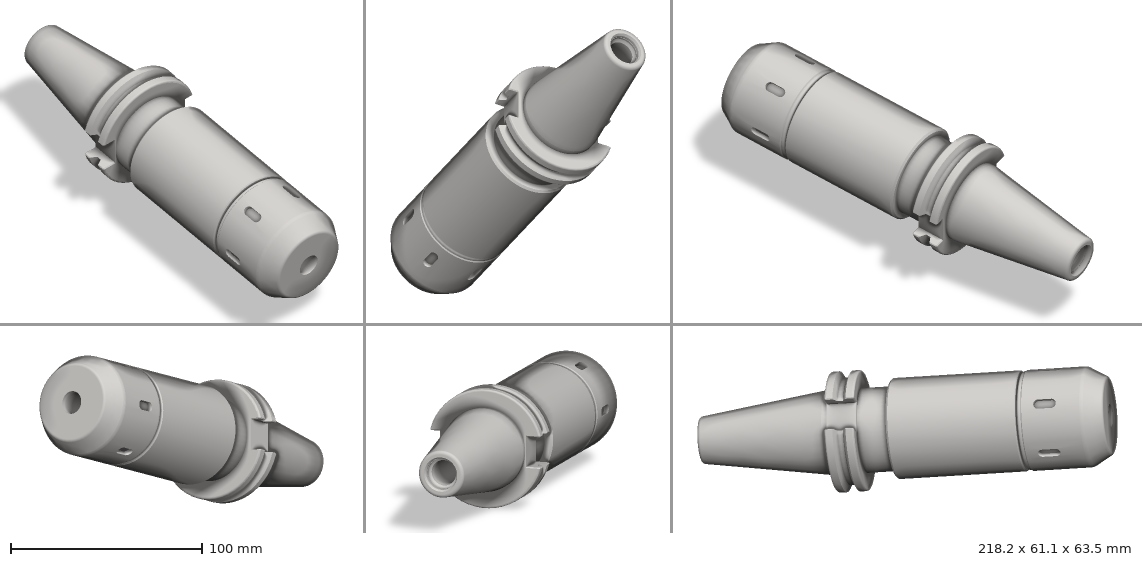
import cadquery as cq
import math

total_length = 218.2

taper_length = 68.3
taper_large_dia = 44.5
taper_slope = 7 / 48
shank_tip_fillet = 2.0

flange_dia = 63.5
flange_start = 71.4
flange_end = 87.3
flange_edge_fillet = 1.0
groove_floor_dia = 56.3
groove_floor_start = 78.0
groove_floor_width = 2.8
groove_flank_angle = 30.0

keyway_width = 16.2
keyway_chamfer = 0.55
keyway_floor_front = 22.7
keyway_floor_back = 24.9

barrel_dia = 53.0
barrel_start = 103.2
barrel_end = 172.5
barrel_front_chamfer = 0.55
barrel_rear_chamfer = 1.0
shoulder_fillet = 0.5

neck_dia = 43.2

nut_start = 173.3
nut_rim_dia = 52.0
nut_rim_length = 2.0
nut_rear_fillet = 1.0
nut_cone_start = 207.8
nut_cone_fillet = 4.0
nut_cone_angle = 30.0
nut_nose_fillet = 1.7

slot_count = 6
slot_start = 182.2
slot_length = 12.0
slot_width = 5.0
slot_depth = 2.6
first_slot_angle = 90.0

mouth_dia = 18.3
mouth_cone_angle = 30.0
socket_dia = 16.8
socket_end = 2.8
relief_dia = 16.4
relief_end = 4.0
thread_dia = 13.5
thread_start = 5.2
thread_end = 43.6
through_dia = 12.0

tolerance = 0.02

taper_large_radius = taper_large_dia / 2
tip_radius = taper_large_radius - taper_length * taper_slope
flange_radius = flange_dia / 2
barrel_radius = barrel_dia / 2
groove_flank_length = (flange_dia - groove_floor_dia) / 2 * math.tan(math.radians(groove_flank_angle))
groove_floor_end = groove_floor_start + groove_floor_width
groove_start = groove_floor_start - groove_flank_length
groove_end = groove_floor_end + groove_flank_length
mouth_length = (mouth_dia - socket_dia) / 2 / math.tan(math.radians(mouth_cone_angle))
nut_cone_drop = (total_length - nut_cone_start) * math.tan(math.radians(nut_cone_angle))
nut_nose_radius = barrel_radius - nut_cone_drop
nut_rim_chamfer = (barrel_dia - nut_rim_dia) / 2


def revolve_about_x(points):
    """Solid of revolution from (x, radius) points, closed along the X axis."""
    outline = [(points[0][0], 0), *points, (points[-1][0], 0)]
    return cq.Workplane("XY").polyline(outline).close().revolve(360, (0, 0, 0), (1, 0, 0))


def fillet_circle(body, x, radius, fillet_radius):
    """Round the full-circle edge of the given radius lying at x."""

    def is_wanted(edge):
        return abs(edge.Center().x - x) < tolerance and abs(edge.radius() - radius) < tolerance

    return body.edges("%CIRCLE").filter(is_wanted).fillet(fillet_radius)


def make_holder_blank():
    blank = revolve_about_x([
        (0, tip_radius),
        (taper_length, taper_large_radius),
        (flange_start, taper_large_radius),
        (flange_start, flange_radius),
        (groove_start, flange_radius),
        (groove_floor_start, groove_floor_dia / 2),
        (groove_floor_end, groove_floor_dia / 2),
        (groove_end, flange_radius),
        (flange_end, flange_radius),
        (flange_end, taper_large_radius),
        (barrel_start, taper_large_radius),
        (barrel_start, barrel_radius - barrel_rear_chamfer),
        (barrel_start + barrel_rear_chamfer, barrel_radius),
        (barrel_end - barrel_front_chamfer, barrel_radius),
        (barrel_end, barrel_radius - barrel_front_chamfer),
        (barrel_end, neck_dia / 2),
        (nut_start, neck_dia / 2),
    ])
    blank = fillet_circle(blank, 0, tip_radius, shank_tip_fillet)
    for x in (flange_start, flange_end):
        blank = fillet_circle(blank, x, flange_radius, flange_edge_fillet)
    return fillet_circle(blank, barrel_start, taper_large_radius, shoulder_fillet)


def make_keyway(floor_distance, side):
    """Cutter for one keyway; side is -1 for -Y and +1 for +Y."""
    return cq.Workplane("XY").box(
        flange_end - flange_start, flange_radius, keyway_width, centered=(False, True, True)
    ).translate((flange_start, side * (floor_distance + flange_radius / 2), 0))


def chamfer_keyway_walls(body):
    """Break the wall edges on the two flange ridges, leaving the floors and the V-groove sharp."""

    def is_ridge_edge(edge):
        centre = edge.Center()
        box = edge.BoundingBox()
        on_wall = box.zlen < tolerance and abs(abs(centre.z) - keyway_width / 2) < tolerance
        on_floor = min(abs(centre.y + keyway_floor_front), abs(centre.y - keyway_floor_back)) < tolerance
        in_groove = groove_start - tolerance < box.xmin and box.xmax < groove_end + tolerance
        on_flange = flange_start - tolerance < box.xmin and box.xmax < flange_end + tolerance
        return on_wall and on_flange and not on_floor and not in_groove

    return body.edges().filter(is_ridge_edge).chamfer(keyway_chamfer)


def make_holder_bore():
    return revolve_about_x([
        (0, mouth_dia / 2),
        (mouth_length, socket_dia / 2),
        (socket_end, socket_dia / 2),
        (socket_end, relief_dia / 2),
        (relief_end, relief_dia / 2),
        (thread_start, thread_dia / 2),
        (thread_end, thread_dia / 2),
        (thread_end, through_dia / 2),
        (nut_start, through_dia / 2),
    ])


holder = make_holder_blank()
holder = holder.cut(make_keyway(keyway_floor_front, -1)).cut(make_keyway(keyway_floor_back, 1))
holder = chamfer_keyway_walls(holder).cut(make_holder_bore())


def make_nut_blank():
    blank = revolve_about_x([
        (nut_start, nut_rim_dia / 2),
        (nut_start + nut_rim_length, nut_rim_dia / 2),
        (nut_start + nut_rim_length + nut_rim_chamfer, barrel_radius),
        (nut_cone_start, barrel_radius),
        (total_length, nut_nose_radius),
    ])
    blank = fillet_circle(blank, nut_start, nut_rim_dia / 2, nut_rear_fillet)
    blank = fillet_circle(blank, nut_cone_start, barrel_radius, nut_cone_fillet)
    return fillet_circle(blank, total_length, nut_nose_radius, nut_nose_fillet)


def make_spanner_slot(index):
    """Cutter for one round-ended slot, sunk radially into the nut."""
    return (
        cq.Workplane("XY", origin=(slot_start + slot_length / 2, 0, barrel_radius - slot_depth))
        .slot2D(slot_length, slot_width)
        .extrude(2 * slot_depth)
        .rotate((0, 0, 0), (1, 0, 0), first_slot_angle + index * 360 / slot_count)
    )


def make_nut_bore():
    return revolve_about_x([(nut_start, through_dia / 2), (total_length, through_dia / 2)])


nut = make_nut_blank().cut(make_nut_bore())
for slot_index in range(slot_count):
    nut = nut.cut(make_spanner_slot(slot_index))

result = cq.Compound.makeCompound([holder.val(), nut.val()])